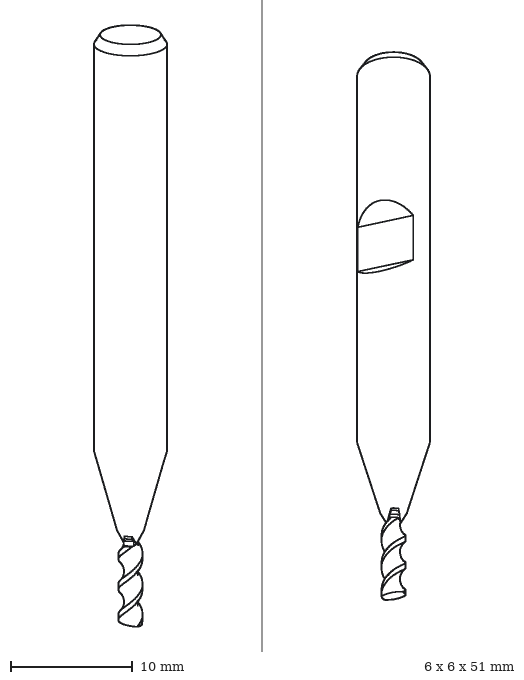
import cadquery as cq
import math

overall_length = 51.0
shank_radius = 3.0
end_chamfer_radial = 0.5
end_chamfer_length = 0.8

cone_top = 15.0
cone_bottom = 7.65
neck_shoulder = 7.4
neck_radius = 0.8

cutter_radius = 0.995
core_radius = 0.535
cutter_length = 7.0
helix_pitch = 5.25
flute_count = 2
land_angle = 36.0
flute_end = 8.4
runout_top_radius = 1.3

notch_depth = 1.3
notch_floor_bottom = 30.9
notch_floor_top = 35.2


def polar(radius, degrees):
    angle = math.radians(degrees)
    return radius * math.cos(angle), radius * math.sin(angle)


def flute_section():
    """Closed outline of round lands joined by flutes, with the first land along +X."""
    step = 360.0 / flute_count
    half_land = land_angle / 2
    outline = cq.Workplane("XY").moveTo(*polar(cutter_radius, -half_land))
    for index in range(flute_count):
        center = index * step
        outline = outline.threePointArc(
            polar(cutter_radius, center), polar(cutter_radius, center + half_land)
        )
        outline = outline.threePointArc(
            polar(core_radius, center + step / 2), polar(cutter_radius, center + step - half_land)
        )
    return outline.close()


def fluted_cutter():
    """Right-hand twisted cutter."""
    return flute_section().twistExtrude(cutter_length, 360.0 * cutter_length / helix_pitch)


def shank_blank():
    """Turned shank with its chamfered end, cone and neck."""
    return (
        cq.Workplane("XZ")
        .moveTo(0, cutter_length)
        .lineTo(neck_radius, cutter_length)
        .lineTo(neck_radius, neck_shoulder)
        .lineTo(cutter_radius, cone_bottom)
        .lineTo(shank_radius, cone_top)
        .lineTo(shank_radius, overall_length - end_chamfer_length)
        .lineTo(shank_radius - end_chamfer_radial, overall_length)
        .lineTo(0, overall_length)
        .close()
        .revolve(360, (0, 0, 0), (0, 1, 0))
    )


def clamping_notch():
    """Trapezoidal prism that crosses the shank along X."""
    floor_y = shank_radius - notch_depth
    return (
        cq.Workplane("YZ")
        .moveTo(floor_y, notch_floor_bottom)
        .lineTo(shank_radius, notch_floor_bottom - notch_depth)
        .lineTo(shank_radius, notch_floor_top + notch_depth)
        .lineTo(floor_y, notch_floor_top)
        .close()
        .extrude(shank_radius, both=True)
    )


def flute_runout():
    """Straight, rising tails of the flutes in the neck and the foot of the cone."""
    runout_height = flute_end - cutter_length
    base = cq.Workplane("XY").workplane(offset=cutter_length)
    envelope = base.circle(shank_radius).extrude(runout_height)
    rising_floor = (
        base.circle(core_radius)
        .workplane(offset=runout_height)
        .circle(runout_top_radius)
        .loft()
    )
    end_angle = 360.0 * cutter_length / helix_pitch
    lands = (
        flute_section()
        .extrude(runout_height)
        .rotate((0, 0, 0), (0, 0, 1), end_angle)
        .translate((0, 0, cutter_length))
    )
    return envelope.cut(lands).cut(rising_floor)


cutter = fluted_cutter()
shank = shank_blank().cut(clamping_notch()).cut(flute_runout())

result = cq.Compound.makeCompound([shank.val(), cutter.val()])